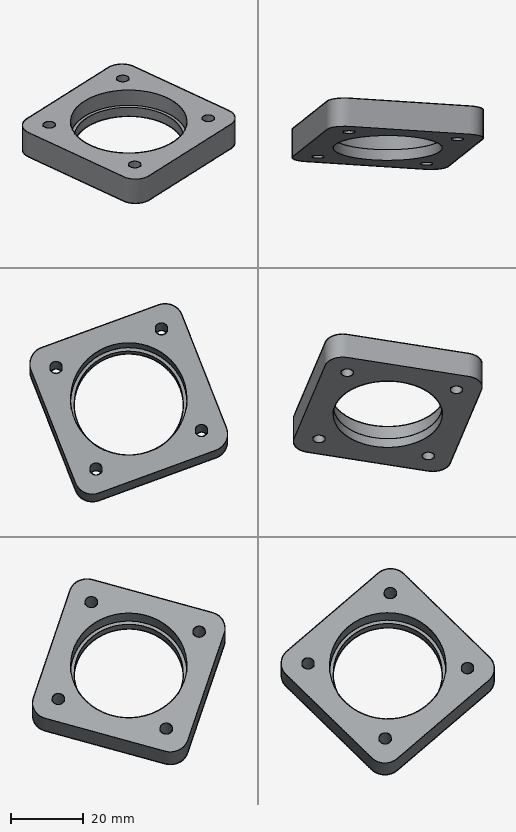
import cadquery as cq

plate_side = 44.4
plate_thickness = 8.0
corner_radius = 5.0

bore_diameter = 30.0
recess_diameter = 32.0
recess_depth = 5.0

mount_hole_diameter = 3.4
mount_hole_spacing = 31.0


def make_plate():
    """Square plate standing on Z = 0, with rounded vertical corners."""
    plate = cq.Workplane("XY").box(plate_side, plate_side, plate_thickness, centered=(True, True, False))
    return plate.edges("|Z").fillet(corner_radius)


def cut_stepped_bore(plate):
    """Through bore with a wider recess in the top face, leaving a narrow ledge."""
    return plate.faces(">Z").workplane().cboreHole(bore_diameter, recess_diameter, recess_depth)


def cut_mount_holes(plate):
    """Four through holes, one near each corner."""
    return (
        plate.faces(">Z")
        .workplane(origin=(0, 0, plate_thickness))
        .rarray(mount_hole_spacing, mount_hole_spacing, 2, 2)
        .hole(mount_hole_diameter)
    )


result = cut_mount_holes(cut_stepped_bore(make_plate()))